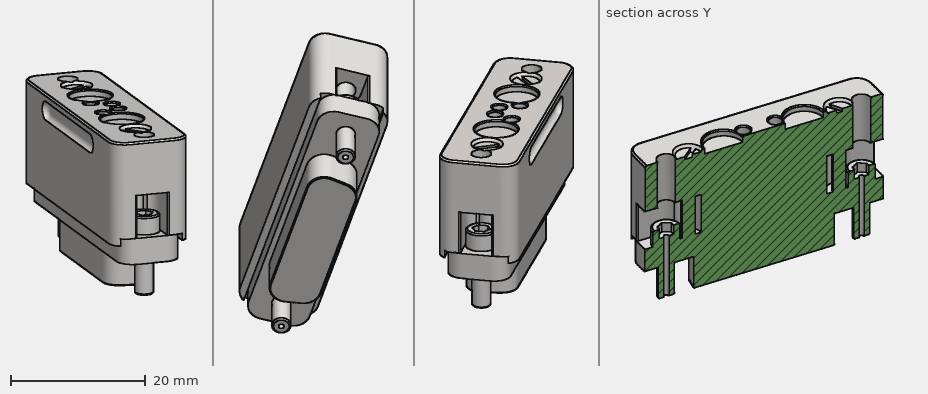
import cadquery as cq
import math

total_height = 24.4
plug_length = 5.6
housing_top = total_height - plug_length
base_height = 4.0
housing_bottom = 2.9

housing_length = 40.43
housing_depth = 12.07
housing_corner_radius = 2.5
housing_top_chamfer = 0.3

base_length = 40.5
base_depth = 9.48
base_corner_radius = 2.55
channel_depth = 9.72

plug_depth = 7.75
plug_front_half_width = 11.3
plug_side_angle = 10
plug_corner_radius = 2.67
plug_edge_chamfer = 0.15

jack_x = 16.55
jack_pin_diameter = 2.85
jack_pin_chamfer = 0.25
jack_bore = 0.8
jack_head_diameter = 4.65
jack_head_chamfer = 0.25
jack_head_top = housing_top - 12.05
hex_across_flats = 2.35
hex_depth = 1.62
access_hole_diameter = 3.0

pocket_width = 4.8
pocket_top = housing_top - 8.2
pocket_mouth_chamfer = 0.25

slotted_x = 12.8
slotted_cone_diameter = 4.75
slotted_face_diameter = 4.0
slotted_face_depth = 0.5
screw_slot_width = 0.75
screw_slot_depth = 0.5
screw_slot_angles = {-1: -60, 1: 41}
shank_diameter = 2.25
shank_clearance_diameter = 4.2

large_hole_x = 6.85
large_hole_diameter = 6.4
large_hole_depth = 1.05
small_hole_diameter = 2.1
small_hole_depth = 3.25
hole_chamfer = 0.2
inner_small_hole = (1.38, 1.4)
outer_small_hole = (2.7, -1.4)

groove_length = 22.1
groove_height = 2.88
groove_depth = 0.9
groove_fillet = 0.85
groove_z = housing_top - 2.55

sides = (-1, 1)


def box_between(length, depth, bottom, top):
    """Box centred on the Z axis between two heights."""
    return cq.Workplane("XY").workplane(offset=bottom).rect(length, depth).extrude(top - bottom)


def cylinder_between(x, y, diameter, bottom, top):
    """Upright cylinder between two heights."""
    return cq.Workplane("XY").workplane(offset=bottom).center(x, y).circle(diameter / 2).extrude(top - bottom)


def cone_below_top(x, y, top_diameter, bottom_diameter, depth):
    """Cone that narrows downwards from the top face."""
    return (
        cq.Workplane("XY").workplane(offset=housing_top).center(x, y).circle(top_diameter / 2)
        .workplane(offset=-depth).circle(bottom_diameter / 2).loft()
    )


def housing_block():
    block = box_between(housing_length, housing_depth, housing_bottom, housing_top)
    block = block.edges("|Z").fillet(housing_corner_radius)
    block = block.faces(">Z").edges().chamfer(housing_top_chamfer)
    return block.cut(box_between(base_length, channel_depth, housing_bottom, base_height))


def base_flange():
    return box_between(base_length, base_depth, 0, base_height).edges("|Z").fillet(base_corner_radius)


def plug():
    back_half_width = plug_front_half_width + plug_depth * math.tan(math.radians(plug_side_angle))
    half_depth = plug_depth / 2
    corners = [
        (-plug_front_half_width, -half_depth),
        (plug_front_half_width, -half_depth),
        (back_half_width, half_depth),
        (-back_half_width, half_depth),
    ]
    block = cq.Workplane("XY").polyline(corners).close().extrude(-plug_length)
    block = block.edges("|Z").fillet(plug_corner_radius)
    return block.faces("<Z").edges().chamfer(plug_edge_chamfer)


def front_groove():
    """Round-ended groove whose walls curve into its floor."""
    front_y = -housing_depth / 2
    groove = (
        cq.Workplane("XZ", origin=(0, front_y, groove_z))
        .slot2D(groove_length, groove_height).extrude(-groove_depth)
    )
    return groove.faces(">Y").edges().fillet(groove_fillet)


def end_pocket(side):
    """Round-backed pocket around a jack screw head, with a chamfered mouth."""
    end_x = side * housing_length / 2
    height = pocket_top - base_height
    round_back = cylinder_between(side * jack_x, 0, pocket_width, base_height, pocket_top)
    half_width = pocket_width / 2
    half_mouth = half_width + pocket_mouth_chamfer
    chamfer_x = end_x - side * pocket_mouth_chamfer
    passage = [
        (side * jack_x, -half_width),
        (chamfer_x, -half_width),
        (end_x, -half_mouth),
        (end_x, half_mouth),
        (chamfer_x, half_width),
        (side * jack_x, half_width),
    ]
    opening = cq.Workplane("XY").workplane(offset=base_height).polyline(passage).close().extrude(height)
    return round_back.union(opening)


def jack_screw(side):
    pin = cylinder_between(side * jack_x, 0, jack_pin_diameter, -plug_length, base_height)
    pin = pin.faces("<Z").edges().chamfer(jack_pin_chamfer)
    head = cylinder_between(side * jack_x, 0, jack_head_diameter, base_height, jack_head_top)
    head = head.faces(">Z").edges().chamfer(jack_head_chamfer)
    return pin.union(head)


def jack_screw_cuts(side):
    """Hex socket and the small bore through the whole jack screw."""
    across_corners = hex_across_flats / math.cos(math.radians(30))
    socket = (
        cq.Workplane("XY").workplane(offset=jack_head_top - hex_depth).center(side * jack_x, 0)
        .transformed(rotate=(0, 0, 90)).polygon(6, across_corners).extrude(hex_depth)
    )
    bore = cylinder_between(side * jack_x, 0, jack_bore, -plug_length, jack_head_top)
    return socket.union(bore)


def slotted_recess(side):
    """Conical recess down to the screw face, plus the driver slot within the same cone."""
    x = side * slotted_x
    taper = (slotted_cone_diameter - slotted_face_diameter) / slotted_face_depth
    slot_bottom = slotted_face_depth + screw_slot_depth
    slot_floor_diameter = slotted_cone_diameter - taper * slot_bottom
    slot = (
        cq.Workplane("XY").workplane(offset=housing_top - slot_bottom).center(x, 0)
        .transformed(rotate=(0, 0, screw_slot_angles[side]))
        .rect(slotted_cone_diameter, screw_slot_width).extrude(slot_bottom)
    )
    slot = slot.intersect(cone_below_top(x, 0, slotted_cone_diameter, slot_floor_diameter, slot_bottom))
    recess = cone_below_top(x, 0, slotted_cone_diameter, slotted_face_diameter, slotted_face_depth)
    return recess.union(slot)


def shank_clearance(side):
    """Ring-shaped chamber around the slotted screw shank, open to the end pocket."""
    x = side * slotted_x
    chamber = cylinder_between(x, 0, shank_clearance_diameter, base_height, pocket_top)
    return chamber.cut(cylinder_between(x, 0, shank_diameter, base_height, pocket_top))


def chamfered_hole(x, y, diameter, depth):
    hole = cylinder_between(x, y, diameter, housing_top - depth, housing_top)
    return hole.union(cone_below_top(x, y, diameter + 2 * hole_chamfer, diameter, hole_chamfer))


result = housing_block().cut(front_groove())
for side in sides:
    result = result.cut(end_pocket(side))
    result = result.cut(shank_clearance(side))
    result = result.cut(cylinder_between(side * jack_x, 0, access_hole_diameter, pocket_top, housing_top))
    result = result.cut(slotted_recess(side))
    result = result.cut(chamfered_hole(side * large_hole_x, 0, large_hole_diameter, large_hole_depth))
    for hole_x, hole_y in (inner_small_hole, outer_small_hole):
        result = result.cut(chamfered_hole(side * hole_x, hole_y, small_hole_diameter, small_hole_depth))

result = result.union(base_flange()).union(plug())
for side in sides:
    result = result.union(jack_screw(side)).cut(jack_screw_cuts(side))